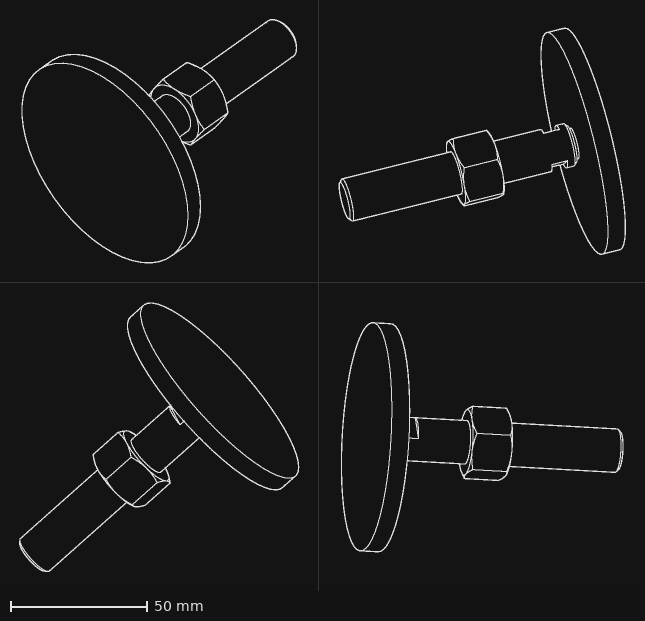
import cadquery as cq
import math

TOTAL_LENGTH = 95.0

BASE_DIAMETER = 84.0
BASE_THICKNESS = 6.7
NECK_ROOT_RADIUS = 5.8
NECK_TIP_RADIUS = 4.9
NECK_HEIGHT = 1.1

ROD_DIAMETER = 16.1
ROD_CHAMFER = 1.0
ROD_START = BASE_THICKNESS + NECK_HEIGHT
ROD_LENGTH = TOTAL_LENGTH - ROD_START

WRENCH_WIDTH = 12.0
WRENCH_FLAT_LENGTH = 6.0
WRENCH_FLAT_START = ROD_START + 3.9
WRENCH_FLAT_ANGLE = 30.0

NUT_WIDTH = 24.0
NUT_HEIGHT = 14.9
NUT_START = 37.3
NUT_CHAMFER_ANGLE = 30.0


def axial_cylinder(diameter, start, length):
    """Solid cylinder along +Y beginning at Y = start."""
    return (
        cq.Workplane("XZ", origin=(0, start, 0))
        .circle(diameter / 2)
        .extrude(-length)
    )


def revolve_profile(points):
    """Revolve a closed (radius, height) outline about the Y axis."""
    return cq.Workplane("XY").polyline(points).close().revolve(360, (0, 0, 0), (0, 1, 0))


def make_base():
    """Round plate with a short tapered neck that carries the rod."""
    return revolve_profile([
        (0, 0),
        (BASE_DIAMETER / 2, 0),
        (BASE_DIAMETER / 2, BASE_THICKNESS),
        (NECK_ROOT_RADIUS, BASE_THICKNESS),
        (NECK_TIP_RADIUS, ROD_START),
        (0, ROD_START),
    ])


def make_rod():
    """Rod with both ends chamfered and two opposite wrench flats."""
    rod = axial_cylinder(ROD_DIAMETER, ROD_START, ROD_LENGTH).faces("<Y or >Y").chamfer(ROD_CHAMFER)
    flat_middle = WRENCH_FLAT_START + WRENCH_FLAT_LENGTH / 2
    cutter_offset = (WRENCH_WIDTH + ROD_DIAMETER) / 2
    for side in (-1, 1):
        cutter = (
            cq.Workplane("XY")
            .box(ROD_DIAMETER, WRENCH_FLAT_LENGTH, ROD_DIAMETER)
            .translate((side * cutter_offset, flat_middle, 0))
            .rotate((0, 0, 0), (0, 1, 0), -WRENCH_FLAT_ANGLE)
        )
        rod = rod.cut(cutter)
    return rod


def make_nut():
    """Hexagon nut with flats facing +Z and -Z and conically chamfered corners."""
    corner_radius = NUT_WIDTH / 2 / math.cos(math.radians(30))
    face_radius = NUT_WIDTH / 2
    chamfer_depth = (corner_radius - face_radius) * math.tan(math.radians(NUT_CHAMFER_ANGLE))
    nut_end = NUT_START + NUT_HEIGHT

    hexagon = (
        cq.Workplane("XZ", origin=(0, NUT_START, 0))
        .polygon(6, 2 * corner_radius)
        .extrude(-NUT_HEIGHT)
    )
    chamfer_envelope = revolve_profile([
        (0, NUT_START),
        (face_radius, NUT_START),
        (corner_radius, NUT_START + chamfer_depth),
        (corner_radius, nut_end - chamfer_depth),
        (face_radius, nut_end),
        (0, nut_end),
    ])
    bore = axial_cylinder(ROD_DIAMETER, NUT_START, NUT_HEIGHT)
    return hexagon.intersect(chamfer_envelope).cut(bore)


base = make_base()
rod = make_rod()
nut = make_nut()

result = cq.Compound.makeCompound([base.val(), rod.val(), nut.val()])